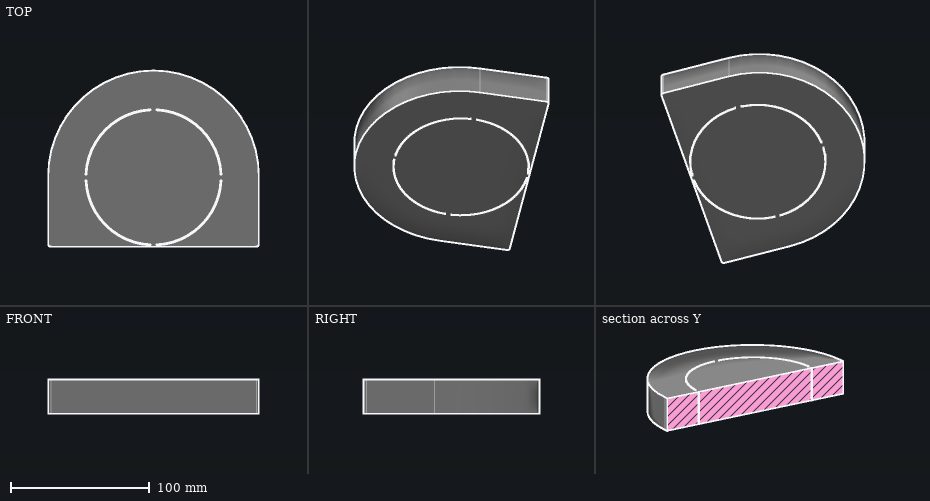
import cadquery as cq

width = 152.0
depth = 127.0
height = 25.0
corner_radius = 2.0
slot_outer_radius = 49.0
slot_width = 0.5
slot_edge_margin = 1.0
tab_width = 4.4

half_width = width / 2
front_y = half_width - depth
ring_center_y = front_y + slot_edge_margin + slot_outer_radius


def make_body():
    """D-shaped plate: rounded back around the origin, straight front with small corner fillets."""
    plate = (
        cq.Workplane("XY")
        .moveTo(-half_width, front_y)
        .lineTo(half_width, front_y)
        .lineTo(half_width, 0)
        .threePointArc((0, half_width), (-half_width, 0))
        .close()
        .extrude(height)
    )
    return plate.edges("|Z").edges("<Y").fillet(corner_radius)


def make_ring_slots():
    """Thin through ring, interrupted by four tabs that hold the central disc."""
    ring = (
        cq.Workplane("XY")
        .circle(slot_outer_radius)
        .circle(slot_outer_radius - slot_width)
        .extrude(height)
    )
    tab_length = 2 * slot_outer_radius + tab_width
    for length_x, length_y in ((tab_length, tab_width), (tab_width, tab_length)):
        tabs = cq.Workplane("XY").rect(length_x, length_y).extrude(height)
        ring = ring.cut(tabs)
    return ring.translate((0, ring_center_y, 0))


result = make_body().cut(make_ring_slots())